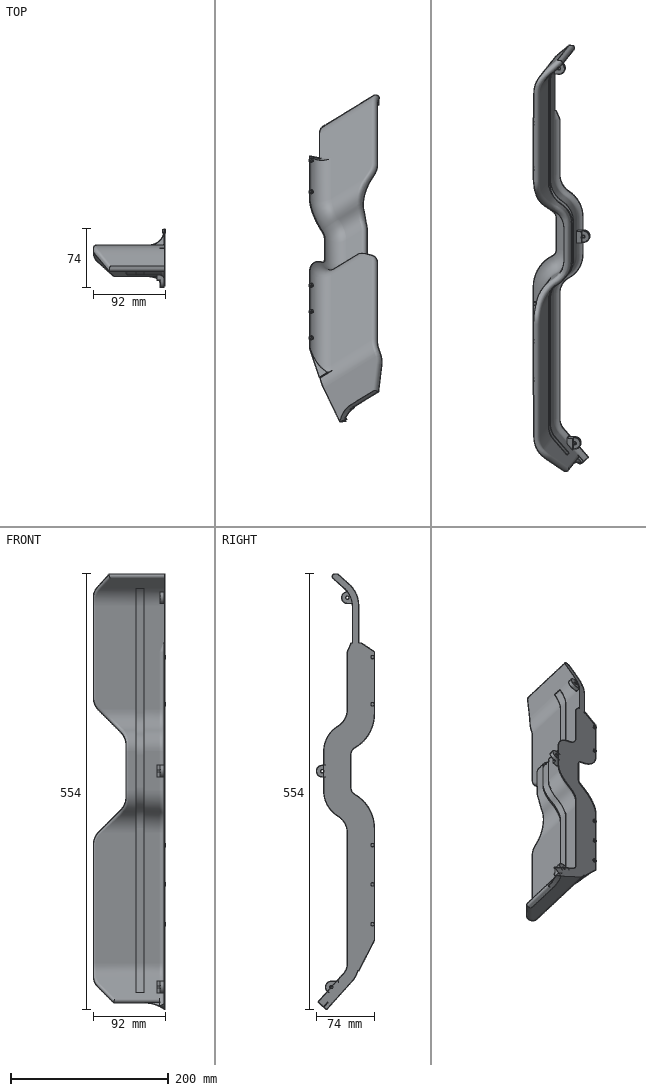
import cadquery as cq
import math

plate_width = 91.0
waist_width = 49.5
thickness = 8.3
waist_recess = 30.0

front_waist, front_panel = 25.0, 78.3
back_waist, back_panel = 21.0, 72.8

top_bend_z = 210.0
top_bend_angle = math.radians(48)
top_bend_radius = 29.0
top_z = 250.7
top_overrun = 40.0
bottom_bend_z = -245.0
bottom_bend_angle = math.radians(42)
bottom_bend_radius = 25.0
bottom_tail = 48.5

corner_slope_start = 20.5
top_slope_rise = 22.5
bottom_slope_z = -268.5
side_bevel_z = 84.2
side_bend_radius = 23.0
corner_radius = 19.0
plate_end_z = -294.8
part_height = 553.97
part_bottom_z = top_z - part_height
bottom_flare_width = 25.0

front_edge_radius = 3.3
back_edge_radius = 4.5

lip = 1.0
back_flare_radius = 19.0
front_flare_radius = 5.5
flare_root = 3.0
flare_top_z = 151.7
runout_height = 11.5
runout_scale = 0.1
trim_start_z = -215.0
trim_end_z = -254.0

groove_width = 10.0
groove_x = -31.5
groove_depth = 0.4
groove_end_z = -281.5
groove_start_z = 232.0

eye_radius = 7.5
eye_hole_radius = 2.0
eye_setback = 1.0
eye_width = 5.0
pad_gap = 1.5
eye_places = [(-14.5, 220.5, -4.0, 5.0), (-46.5, 0.0, -34.0, 9.0), (-35.0, -274.5, -26.0, 9.0)]
peg_diameter = 4.5
peg_height = 1.0
peg_root = 3.0
peg_y = 17.5
peg_heights = [145.0, 85.0, -94.0, -144.0, -194.5]


def face_route(setback, waist_half, panel_half):
    """Points and segment kinds down one plate face, `setback` in front of the back face."""
    top_radius = top_bend_radius + thickness - setback
    low_radius = bottom_bend_radius + thickness - setback
    sin_top, cos_top = math.sin(top_bend_angle), math.cos(top_bend_angle)
    sin_low, cos_low = math.sin(bottom_bend_angle), math.cos(bottom_bend_angle)
    panel_y = -setback
    waist_y = panel_y - waist_recess
    middle_y = (panel_y + waist_y) / 2
    middle_z = (waist_half + panel_half) / 2
    fold_top = (panel_y - top_radius * (1 - cos_top), top_bend_z + top_radius * sin_top)
    fold_low = (panel_y - low_radius * (1 - cos_low), bottom_bend_z - low_radius * sin_low)
    points = [
        (fold_top[0] - top_overrun * sin_top, fold_top[1] + top_overrun * cos_top),
        fold_top,
        (panel_y, top_bend_z),
        (panel_y, panel_half),
        (middle_y, middle_z),
        (waist_y, waist_half),
        (waist_y, -waist_half),
        (middle_y, -middle_z),
        (panel_y, -panel_half),
        (panel_y, bottom_bend_z),
        fold_low,
        (fold_low[0] - bottom_tail * sin_low, fold_low[1] - bottom_tail * cos_low),
    ]
    kinds = ["line", "arc", "line", "arc", "arc", "line", "arc", "arc", "line", "arc", "line"]
    return points, kinds


def follow(sketch, points, kinds):
    """Continue a sketch through the points with straight lines and tangent arcs."""
    for point, kind in zip(points, kinds):
        if kind == "line":
            sketch = sketch.lineTo(*point)
        else:
            sketch = sketch.tangentArcPoint(point, relative=False)
    return sketch


def bent_slab(front_setback, back_setback, width):
    """Slab of the given width behind X = 0, between two offsets of the plate."""
    front, kinds = face_route(front_setback, front_waist, front_panel)
    back, _ = face_route(back_setback, back_waist, back_panel)
    sketch = cq.Workplane("YZ").moveTo(*front[0])
    sketch = follow(sketch, front[1:], kinds)
    sketch = sketch.lineTo(*back[-1])
    sketch = follow(sketch, back[-2::-1], kinds[::-1])
    return sketch.close().extrude(-width)


def side_outline():
    """Prism along Y with the outline of the plate."""
    left, waist = -plate_width, -waist_width
    slope = plate_width - waist_width
    inner_z = side_bevel_z - slope
    span = 4 * plate_width
    outline = (
        cq.Workplane("XZ", origin=(0, span / 2, 0))
        .moveTo(0, top_z)
        .lineTo(left + corner_slope_start, top_z)
        .lineTo(left, top_z - top_slope_rise)
        .lineTo(left, side_bevel_z)
        .lineTo(waist, inner_z)
        .lineTo(waist, -inner_z)
        .lineTo(left, -side_bevel_z)
        .lineTo(left, bottom_slope_z)
        .lineTo(left + bottom_slope_z - plate_end_z, plate_end_z)
        .lineTo(0, plate_end_z)
        .close()
        .extrude(span)
    )

    def round_corners(solid, x, z, radius):
        reach = 1.0
        box = cq.selectors.BoxSelector((x - reach, -span, z - reach), (x + reach, span, z + reach))
        return solid.edges(box).fillet(radius)

    for side in (1, -1):
        outline = round_corners(outline, left, side * side_bevel_z, side_bend_radius)
        outline = round_corners(outline, waist, side * inner_z, side_bend_radius)
    outline = round_corners(outline, left, top_z - top_slope_rise, corner_radius)
    return round_corners(outline, left, bottom_slope_z, corner_radius)


def rim_edges(solid, side):
    """Free edges of the plate on its front (side = -1) or back (side = 1) face."""
    body = solid.val()
    tolerance = 0.1
    probe_inward = 0.2
    probe_across = 1.0
    nearly_along_x = 0.99

    def on_end(point):
        at_end = point.z > top_z - tolerance or abs(point.z - plate_end_z) < tolerance
        return side < 0 and at_end

    def on_rim(edge):
        middle = edge.positionAt(0.5)
        inward = cq.Vector(probe_inward, 0, -math.copysign(probe_inward, middle.z))
        across = cq.Vector(0, side * probe_across, 0)
        return (
            middle.x < -tolerance
            and (on_end(middle) or abs(edge.tangentAt(0.5).x) < nearly_along_x)
            and body.isInside(middle + inward - across)
            and not body.isInside(middle + inward + across)
        )

    return [edge for edge in solid.edges().vals() if on_rim(edge)]


def rounded_plate():
    """Plate with its free edges rounded on both faces."""
    slab = bent_slab(thickness, 0, plate_width)
    sharp = slab.intersect(side_outline())
    front_rounded = sharp.newObject(rim_edges(sharp, -1)).fillet(front_edge_radius)
    back_rounded = sharp.newObject(rim_edges(sharp, 1)).fillet(back_edge_radius)
    return front_rounded.intersect(back_rounded)


def flare_section(radius, lean, scale):
    """Points of one flare; lean is +1 behind the back face and -1 before the front face."""
    size = radius * scale
    reach = size + lip
    toe = (-reach, 0)
    edge = (-lip, lean * size)
    bulge = size * math.sqrt(0.5)
    middle = (-reach + bulge, lean * (size - bulge))
    return toe, middle, edge, lean * reach


def draw_section(sketch, radius, lean, scale=1.0):
    """Closed section of one flare, rooted inside the plate."""
    toe, middle, edge, tip = flare_section(radius, lean, scale)
    root = -lean * flare_root
    return (
        sketch.moveTo(toe[0], root)
        .lineTo(*toe)
        .threePointArc(middle, edge)
        .lineTo(-lip, tip)
        .lineTo(0, tip)
        .lineTo(0, root)
        .close()
    )


def flare(radius, lean, setback, waist_half, panel_half):
    """Concave flare from the plate to the mounting face, run out at its top end."""
    points, kinds = face_route(setback, waist_half, panel_half)
    panel_end = 3
    path = cq.Workplane("YZ").moveTo(points[panel_end][0], flare_top_z)
    path = follow(path, points[panel_end:], kinds[panel_end - 1:])
    base = cq.Workplane("XY", origin=(0, -setback, flare_top_z))
    swept = draw_section(base, radius, lean).sweep(path)
    runout = draw_section(base, radius, lean).workplane(offset=runout_height)
    runout = draw_section(runout, radius, lean, runout_scale).loft(ruled=True)
    return swept.union(runout)


def mounting_window(top):
    """Prism along Y beside the mounting face, bounded below by the curve down to the lip."""
    drop = plate_end_z - part_bottom_z
    radius = (bottom_flare_width ** 2 + drop ** 2) / (2 * drop)
    angle = math.asin(bottom_flare_width / radius) / 2
    middle = (
        -bottom_flare_width + radius * math.sin(angle),
        plate_end_z - radius * (1 - math.cos(angle)),
    )
    span = 4 * plate_width
    return (
        cq.Workplane("XZ", origin=(0, span / 2, 0))
        .moveTo(-plate_width, top)
        .lineTo(-plate_width, plate_end_z)
        .lineTo(-bottom_flare_width, plate_end_z)
        .threePointArc(middle, (0, part_bottom_z))
        .lineTo(0, top)
        .close()
        .extrude(span)
    )


def bottom_lip():
    """End of the plate beside the mounting face, down to the lip and behind the rounded front edge."""
    slab = bent_slab(thickness - front_edge_radius, 0, bottom_flare_width)
    return slab.intersect(mounting_window(trim_end_z))


def back_trim():
    """Wedge that narrows the back flare towards the bottom end."""
    edge_y = back_flare_radius + lip
    depth = trim_start_z - part_bottom_z + plate_width
    return (
        cq.Workplane("YZ")
        .moveTo(edge_y, trim_start_z)
        .lineTo(0, trim_end_z)
        .lineTo(-depth, trim_end_z)
        .lineTo(-depth, trim_start_z - depth)
        .lineTo(edge_y + depth, trim_start_z - depth)
        .lineTo(edge_y + depth, trim_start_z)
        .close()
        .extrude(-plate_width)
    )


def groove():
    """Shallow band cut along the front face, between its two ends."""
    proud = 1.0
    band = bent_slab(thickness + proud, thickness - groove_depth, plate_width)
    height = groove_start_z - groove_end_z
    window = cq.Workplane("XY").box(groove_width, 4 * plate_width, height)
    return band.intersect(window.translate((groove_x, 0, groove_start_z - height / 2)))


def clip_eye(y, z, root_y, pad_width):
    """Eye with its hole along X, on a neck and a wider pad that both start inside the plate."""

    def block(front_y, width):
        solid = cq.Workplane("XY").box(width, root_y - front_y, 2 * eye_radius)
        return solid.translate((-eye_setback - width / 2, (front_y + root_y) / 2, z))

    start = cq.Workplane("YZ", origin=(-eye_setback, y, z))
    eye = start.circle(eye_radius).extrude(-eye_width)
    hole = start.circle(eye_hole_radius).extrude(-pad_width)
    return block(y, eye_width).union(block(y + pad_gap, pad_width)).union(eye).cut(hole)


def peg(z):
    """Locating peg that stands out of the mounting face, rooted in the back flare."""
    start = cq.Workplane("YZ", origin=(-peg_root, peg_y, z))
    return start.circle(peg_diameter / 2).extrude(peg_root + peg_height)


back_flare = flare(back_flare_radius, 1, 0, back_waist, back_panel).cut(back_trim())
front_flare = flare(front_flare_radius, -1, thickness, front_waist, front_panel)
flares = back_flare.union(front_flare).intersect(mounting_window(top_z))

fittings = [clip_eye(*place).val() for place in eye_places]
fittings += [peg(height).val() for height in peg_heights]

plate = rounded_plate().cut(groove()).union(flares).union(bottom_lip())
result = plate.union(cq.Workplane(cq.Compound.makeCompound(fittings)))